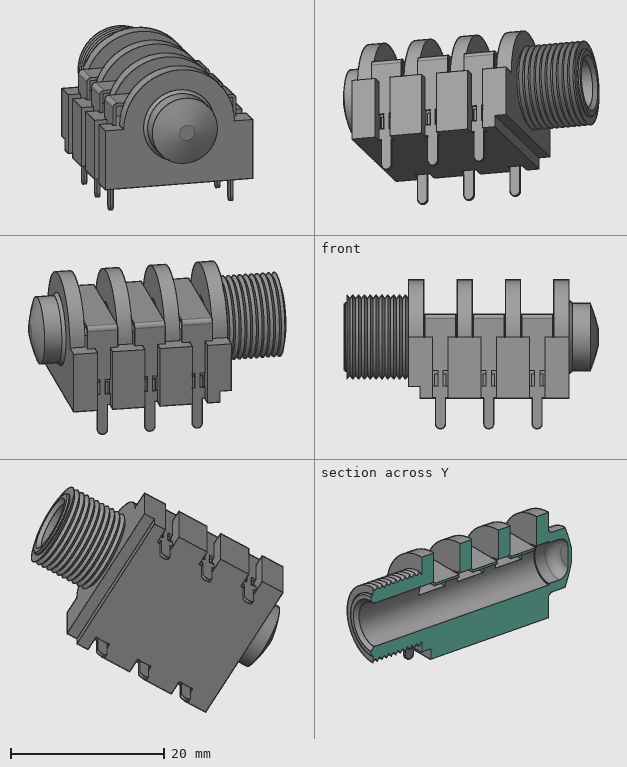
import cadquery as cq
import math

total_length = 33.2

body_start = 8.4
body_end = 29.38
body_width = 20.0
body_bottom = -8.0
flange_radius = 7.5
front_step_length = 1.5
front_step_height = 1.53

contact_count = 3
contact_pitch = 6.3
first_contact_x = 12.58
slot_width = 4.3
wing_gap = 2.03
strip_width = 4.05
strip_thickness = 0.4
strip_top = 3.0
strip_half_span = 8.33
bend_radius = 0.6
leg_bottom_gap = 0.1

pin_width = 1.33
pin_bottom = -12.0

web_width = 0.7
window_top = -4.38
window_bottom = -6.4
tab_thickness = 0.4
tab_top = -4.8
tab_setback = 0.13

thread_start = 0.35
thread_pitch = 0.75
thread_radius = 5.5
thread_depth = 0.5
nose_radius = 4.48
nose_chamfer = 0.2

collar_radius = 4.8
collar_length = 0.45
cap_radius = 4.4
dome_start = 32.15
dome_curvature_radius = 23.25
dome_tip_radius = 1.03

bore_radius = 3.15
mouth_radius = 3.7
cap_bore_radius = 2.95
cap_floor_radius = 1.5
cap_wall = 0.65

wall_inner_y = strip_half_span - strip_thickness
contact_positions = [first_contact_x + i * contact_pitch for i in range(contact_count)]


def box(x_range, y_range, z_range):
    """Axis-aligned box between the given limits."""
    size = [high - low for low, high in (x_range, y_range, z_range)]
    corner = (x_range[0], y_range[0], z_range[0])
    return cq.Workplane("XY").box(*size, centered=False).translate(corner)


def revolve_about_x(profile):
    """Full turn of a closed XY profile about the socket axis."""
    return profile.revolve(360, (0, 0, 0), (1, 0, 0))


def make_housing():
    half_width = body_width / 2
    length = body_end - body_start
    base = box((body_start, body_end), (-half_width, half_width), (body_bottom, 0))
    barrel = cq.Workplane("YZ", origin=(body_start, 0, 0)).circle(flange_radius).extrude(length)
    housing = base.union(barrel)

    step_top = body_bottom + front_step_height
    step_end = body_start + front_step_length
    housing = housing.cut(box((body_start, step_end), (-half_width, half_width), (body_bottom, step_top)))

    for x in contact_positions:
        slot_x = (x - slot_width / 2, x + slot_width / 2)
        housing = housing.cut(box(slot_x, (-half_width, half_width), (0, flange_radius)))
        gap_x = (x - wing_gap / 2, x + wing_gap / 2)
        for y_range in ((-half_width, -wall_inner_y), (wall_inner_y, half_width)):
            housing = housing.cut(box(gap_x, y_range, (body_bottom, 0)))
    return housing


def make_bushing():
    """Nose and ring-shaped thread with sharp crests and roots."""
    root_radius = thread_radius - thread_depth
    turns = math.floor((body_start - thread_start) / thread_pitch)
    profile = (
        cq.Workplane("XY")
        .moveTo(0, 0)
        .lineTo(0, nose_radius - nose_chamfer)
        .lineTo(nose_chamfer, nose_radius)
        .lineTo(thread_start, nose_radius)
        .lineTo(thread_start, thread_radius)
    )
    for i in range(turns):
        crest_x = thread_start + i * thread_pitch
        profile = profile.lineTo(crest_x + thread_pitch / 2, root_radius)
        profile = profile.lineTo(crest_x + thread_pitch, thread_radius)
    profile = profile.lineTo(body_start, root_radius).lineTo(body_start, 0).close()
    return revolve_about_x(profile)


def make_cap():
    """Conical collar, cylinder and shallow dome with a small flat tip on the rear face."""
    dome_height = total_length - dome_start
    dome_rise = cap_radius - dome_tip_radius
    chord = math.hypot(dome_height, dome_rise)
    sagitta = dome_curvature_radius - math.sqrt(dome_curvature_radius**2 - (chord / 2) ** 2)
    middle_x = dome_start + dome_height / 2 + sagitta * dome_rise / chord
    middle_y = dome_tip_radius + dome_rise / 2 + sagitta * dome_height / chord
    profile = (
        cq.Workplane("XY")
        .moveTo(body_end, 0)
        .lineTo(body_end, collar_radius)
        .lineTo(body_end + collar_length, cap_radius)
        .lineTo(dome_start, cap_radius)
        .threePointArc((middle_x, middle_y), (total_length, dome_tip_radius))
        .lineTo(total_length, 0)
        .close()
    )
    return revolve_about_x(profile)


def make_bore():
    """Socket hole with a flared mouth and a rounded blind end inside the cap."""
    flare = mouth_radius - bore_radius
    corner_radius = cap_bore_radius - cap_floor_radius
    floor_x = total_length - cap_wall
    corner_x = floor_x - corner_radius
    diagonal = corner_radius * math.sqrt(0.5)
    profile = (
        cq.Workplane("XY")
        .lineTo(0, mouth_radius)
        .lineTo(flare, bore_radius)
        .lineTo(body_end, bore_radius)
        .lineTo(body_end, cap_bore_radius)
        .lineTo(corner_x, cap_bore_radius)
        .threePointArc((corner_x + diagonal, cap_floor_radius + diagonal), (floor_x, cap_floor_radius))
        .lineTo(floor_x, 0)
        .close()
    )
    return revolve_about_x(profile)


def make_pin(x, y_range, top):
    """Flat solder pin with a fully rounded tip."""
    half_width = pin_width / 2
    tip_z = pin_bottom + half_width
    y_low, y_high = y_range
    return (
        cq.Workplane("XZ", origin=(x, y_high, 0))
        .moveTo(-half_width, top)
        .lineTo(-half_width, tip_z)
        .threePointArc((0, pin_bottom), (half_width, tip_z))
        .lineTo(half_width, top)
        .close()
        .extrude(y_high - y_low)
    )


def make_contact(x):
    """Bridge strip with two bent legs, solder pins and folded tabs."""
    leg_bottom = body_bottom + leg_bottom_gap
    strip_x = (x - strip_width / 2, x + strip_width / 2)
    outer = box(strip_x, (-strip_half_span, strip_half_span), (leg_bottom, strip_top))
    outer = outer.edges("|X and >Z").fillet(bend_radius)
    inner = box(strip_x, (-wall_inner_y, wall_inner_y), (leg_bottom, strip_top - strip_thickness))
    inner = inner.edges("|X and >Z").fillet(bend_radius - strip_thickness)
    contact = outer.cut(inner)

    tab_outer_y = strip_half_span - tab_setback
    for side in (-1, 1):
        leg_y = sorted((side * wall_inner_y, side * strip_half_span))
        tab_y = sorted((side * wall_inner_y, side * tab_outer_y))
        contact = contact.union(make_pin(x, leg_y, leg_bottom))
        for hand in (-1, 1):
            web_edge = x + hand * web_width / 2
            window_x = sorted((web_edge, x + hand * wing_gap / 2))
            tab_x = sorted((web_edge, web_edge + hand * tab_thickness))
            contact = contact.cut(box(window_x, leg_y, (window_bottom, window_top)))
            contact = contact.union(box(tab_x, tab_y, (window_bottom, tab_top)))
    return contact


result = make_housing().union(make_bushing()).union(make_cap()).cut(make_bore())
for contact_x in contact_positions:
    result = result.union(make_contact(contact_x))